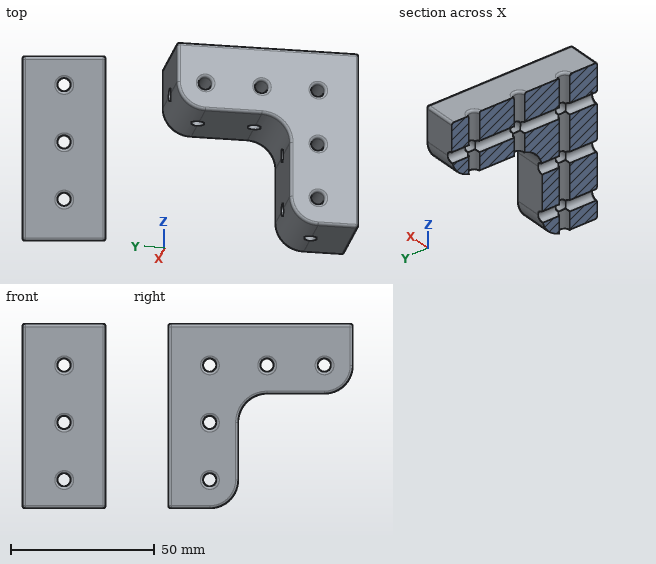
import cadquery as cq
import math

length = 64.5
width = 29.0
corner_radius = 10.0
edge_radius = 1.0
hole_pitch = 20.0
hole_count = 3
hole_diameter = 4.5
mouth_radius = 1.0

hole_inset = length - corner_radius - (hole_count - 1) * hole_pitch
leg_thickness = hole_inset + corner_radius
leg_steps = [hole_inset + i * hole_pitch for i in range(hole_count)]
corner_line = length - hole_inset
tip_end = length - corner_radius
underside = length - leg_thickness
hole_radius = hole_diameter / 2
arc_middle = math.sqrt(0.5)


def make_bracket():
    """L-shaped block with its outer corner at Y = 0, Z = length, centred on X."""
    diagonal = corner_radius * arc_middle
    foot_y = leg_thickness - corner_radius
    bend_y = leg_thickness + corner_radius
    bend_z = underside - corner_radius
    outline = (
        cq.Workplane("YZ")
        .moveTo(0, 0)
        .lineTo(foot_y, 0)
        .threePointArc(
            (foot_y + diagonal, corner_radius - diagonal),
            (leg_thickness, corner_radius),
        )
        .lineTo(leg_thickness, bend_z)
        .threePointArc((bend_y - diagonal, bend_z + diagonal), (bend_y, underside))
        .lineTo(tip_end, underside)
        .threePointArc(
            (tip_end + diagonal, underside + corner_radius - diagonal),
            (length, underside + corner_radius),
        )
        .lineTo(length, length)
        .lineTo(0, length)
        .close()
    )
    return outline.extrude(width / 2, both=True).edges().fillet(edge_radius)


def hole_cutter(entry, direction, depth):
    """Round cutter starting at an outer face, with a rounded mouth at its entry."""
    bend = mouth_radius * (1 - arc_middle)
    profile = (
        cq.Workplane("XZ")
        .lineTo(hole_radius + mouth_radius, 0)
        .threePointArc((hole_radius + bend, bend), (hole_radius, mouth_radius))
        .lineTo(hole_radius, depth)
        .lineTo(0, depth)
        .close()
    )
    cutter = profile.revolve(360, (0, 0), (0, 1)).val()
    return cutter.moved(cq.Plane(origin=entry, normal=direction).location)


def cut_front_and_top_holes(body):
    """Through holes along Y from the front face and along Z from the top face."""
    for step in leg_steps:
        body = body.cut(hole_cutter((0, 0, length - step), (0, 1, 0), length))
        body = body.cut(hole_cutter((0, step, length), (0, 0, -1), length))
    return body


def cut_side_holes(body):
    """Through holes along X, rounded at both ends; the two rows share the corner hole."""
    upper_row = [(step, corner_line) for step in leg_steps]
    lower_row = [(hole_inset, length - step) for step in leg_steps[1:]]
    for y, z in upper_row + lower_row:
        body = body.cut(hole_cutter((-width / 2, y, z), (1, 0, 0), width / 2))
        body = body.cut(hole_cutter((width / 2, y, z), (-1, 0, 0), width / 2))
    return body


result = cut_side_holes(cut_front_and_top_holes(make_bracket()))